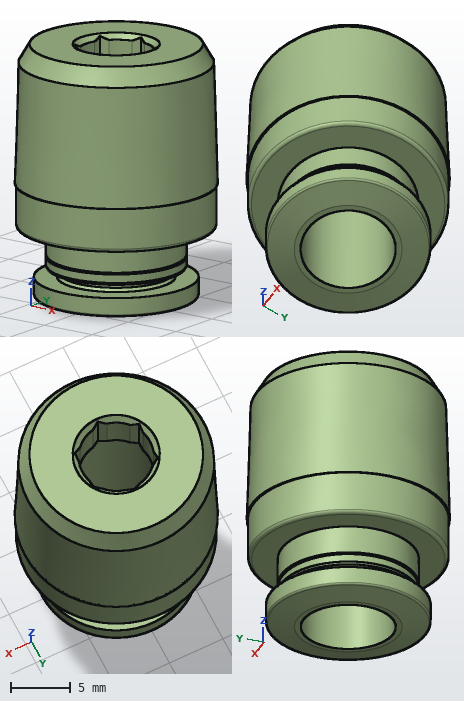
import cadquery as cq
import math

height = 22.2
flange_round_z = 0.6
flange_top_z = 2.05
neck_taper_z = 2.33
collar_bottom_z = 2.89
groove_bottom_z = 3.82
groove_top_z = 3.95
body_bottom_z = 6.4
sleeve_bottom_z = 10.2
sleeve_top_z = 20.62

flange_face_radius = 4.5
flange_radius = 13.8 / 2
neck_radius = 9.35 / 2
collar_radius = 11.8 / 2
body_radius = 16.8 / 2
sleeve_bottom_radius = 17.0 / 2
sleeve_top_radius = 8.2
top_face_radius = 7.25

flange_rim_round = 0.18
collar_chamfer = 0.2
collar_chamfer_inset = 0.13
groove_depth = 0.07
body_round = 0.3

bore_radius = 7.95 / 2
socket_flats = 6.0
socket_relief_radius = 3.15
socket_bottom_z = 18.23
socket_mouth_radius = 3.65


def point_on_arc(center, radius, angle):
    """Point at an angle, in radians, on a circle in the outline plane."""
    return (center[0] + radius * math.cos(angle), center[1] + radius * math.sin(angle))


def make_outer_body():
    """Revolve the stepped outer outline about Z."""
    groove_radius = collar_radius - groove_depth
    neck_foot_radius = neck_radius + neck_taper_z - flange_top_z

    rim_center = (flange_radius - flange_rim_round, flange_round_z)
    reach = math.hypot(rim_center[0] - flange_face_radius, rim_center[1])
    cone_angle = math.atan2(rim_center[1], rim_center[0] - flange_face_radius)
    cone_angle -= math.asin(flange_rim_round / reach)
    rim_start_angle = cone_angle - math.pi / 2

    body_round_center = (body_radius - body_round, body_bottom_z + body_round)

    outline = (
        cq.Workplane("XZ")
        .moveTo(0, 0)
        .lineTo(flange_face_radius, 0)
        .lineTo(*point_on_arc(rim_center, flange_rim_round, rim_start_angle))
        .threePointArc(
            point_on_arc(rim_center, flange_rim_round, rim_start_angle / 2),
            (flange_radius, flange_round_z),
        )
        .lineTo(flange_radius, flange_top_z)
        .lineTo(neck_foot_radius, flange_top_z)
        .lineTo(neck_radius, neck_taper_z)
        .lineTo(neck_radius, collar_bottom_z)
        .lineTo(collar_radius - collar_chamfer_inset, collar_bottom_z)
        .lineTo(collar_radius, collar_bottom_z + collar_chamfer)
        .lineTo(collar_radius, groove_bottom_z)
        .lineTo(groove_radius, groove_bottom_z)
        .lineTo(groove_radius, groove_top_z)
        .lineTo(collar_radius, groove_top_z)
        .lineTo(collar_radius, body_bottom_z)
        .lineTo(body_radius - body_round, body_bottom_z)
        .threePointArc(
            point_on_arc(body_round_center, body_round, -math.pi / 4),
            (body_radius, body_bottom_z + body_round),
        )
        .lineTo(body_radius, sleeve_bottom_z)
        .lineTo(sleeve_bottom_radius, sleeve_bottom_z)
        .lineTo(sleeve_top_radius, sleeve_top_z)
        .lineTo(top_face_radius, height)
        .lineTo(0, height)
        .close()
    )
    return outline.revolve(360, (0, 0), (0, 1))


def make_passage():
    """Round bore below a relieved hex socket with a 45 degree conical mouth."""
    bore = cq.Workplane("XY").circle(bore_radius).extrude(socket_bottom_z)

    socket_plane = cq.Workplane("XY").workplane(offset=socket_bottom_z)
    socket_depth = height - socket_bottom_z
    corner_diameter = socket_flats / math.cos(math.radians(30))
    hexagon = socket_plane.polygon(6, corner_diameter).extrude(socket_depth)
    hexagon = hexagon.rotate((0, 0, 0), (0, 0, 1), 30)
    relief = socket_plane.circle(socket_relief_radius).extrude(socket_depth)

    mouth_depth = socket_mouth_radius - socket_relief_radius
    mouth = (
        cq.Workplane("XY")
        .workplane(offset=height - mouth_depth)
        .circle(socket_relief_radius)
        .workplane(offset=mouth_depth)
        .circle(socket_mouth_radius)
        .loft()
    )
    return bore.union(hexagon).union(relief).union(mouth)


result = make_outer_body().cut(make_passage())